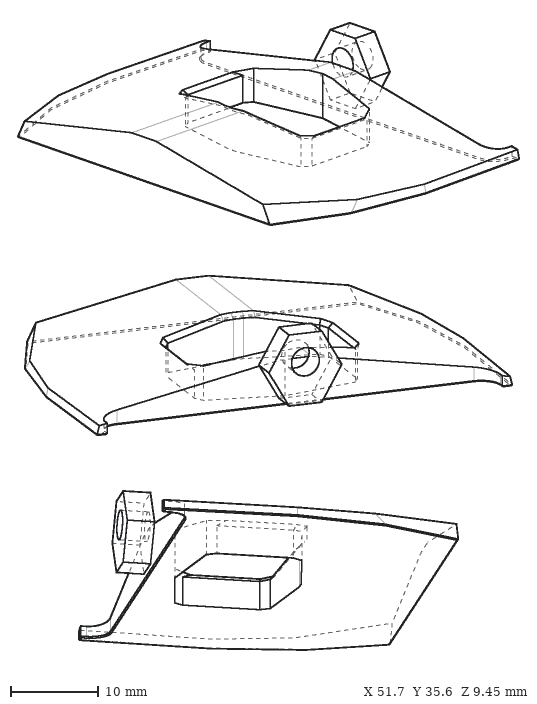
import cadquery as cq
import math

ridge_height = 5.5
ridge_half_width = 2.0
roof_angle = 10.4
plate_length = 32.4

half_width = 25.85
front_corner = (20.35, 0.0)
front_bend = (24.3, 9.3)
widest_point = (half_width, 19.9)
ear_corner = (25.6, 35.4)
front_facet_draft = 25.0
side_draft = 14.0
bottom_bevel = 0.15

ear_inner_x = 24.35
ear_fillet = 2.35

window_centre_y = 21.75
window_half_width = 10.05
window_side_half_length = 4.5
window_corner_x = 9.35
window_corner_half_length = 5.6
window_apex_half_length = 7.4
window_chamfer = 0.6

lug_top = 9.45
lug_middle = 5.15
lug_rear = 35.6
lug_side_angle = 60.0
lug_hole_diameter = 3.4
lug_hole_height = 6.0

overrun = 5.15
cutter_size = 103.4


def mirrored(right_half):
    """Close a right-half point list with its mirror image across X = 0."""
    left_half = [(-x, y) for x, y in reversed(right_half) if x != 0]
    return right_half + left_half


def roof():
    """Roof profile extruded along Y."""
    eave_x = half_width + overrun
    eave_drop = (eave_x - ridge_half_width) * math.tan(math.radians(roof_angle))
    half_profile = [
        (eave_x, 0),
        (eave_x, ridge_height - eave_drop),
        (ridge_half_width, ridge_height),
    ]
    profile = cq.Workplane("XZ").polyline(mirrored(half_profile)).close()
    return profile.extrude(-ear_corner[1])


def outside_facet(start, end, draft):
    """Material outside a side facet that leans inward by draft degrees from the line start to end."""
    run_x = end[0] - start[0]
    run_y = end[1] - start[1]
    length = math.hypot(run_x, run_y)
    lean = math.radians(draft)
    outward = (
        run_y / length * math.cos(lean),
        -run_x / length * math.cos(lean),
        math.sin(lean),
    )
    facet_plane = cq.Plane(origin=(*start, bottom_bevel), xDir=(run_x, run_y, 0), normal=outward)
    return cq.Workplane(facet_plane).rect(cutter_size, cutter_size).extrude(cutter_size)


def trim_sides(body):
    """Cut the three leaning facets on the right side and their mirror images on the left."""
    facets = [
        (front_corner, front_bend, front_facet_draft),
        (front_bend, widest_point, side_draft),
        (widest_point, ear_corner, side_draft),
    ]
    for start, end, draft in facets:
        waste = outside_facet(start, end, draft)
        body = body.cut(waste).cut(waste.mirror("YZ"))
    return body


def rear_notch():
    """Recess between the ears, rounded at its inner corners."""
    return (
        cq.Workplane("XY")
        .center(0, plate_length)
        .rect(2 * ear_inner_x, 2 * overrun)
        .extrude(ridge_height)
        .translate((0, overrun, 0))
        .edges("|Z and <Y")
        .fillet(ear_fillet)
    )


def window():
    """Through opening with a shallow apex at front and rear and cut corners."""
    right_half = [
        (0, -window_apex_half_length),
        (window_corner_x, -window_corner_half_length),
        (window_half_width, -window_side_half_length),
        (window_half_width, window_side_half_length),
        (window_corner_x, window_corner_half_length),
        (0, window_apex_half_length),
    ]
    return (
        cq.Workplane("XY")
        .center(0, window_centre_y)
        .polyline(mirrored(right_half))
        .close()
        .extrude(ridge_height)
    )


def lug():
    """Hexagonal block with a cross hole along Y."""
    half_height = lug_top - lug_middle
    half_width_middle = ridge_half_width + half_height / math.tan(math.radians(lug_side_angle))
    right_half = [
        (ridge_half_width, lug_middle - half_height),
        (half_width_middle, lug_middle),
        (ridge_half_width, lug_top),
    ]
    lug_plane = cq.Workplane("XZ", origin=(0, plate_length, 0))
    block = lug_plane.polyline(mirrored(right_half)).close().extrude(plate_length - lug_rear)
    hole = (
        lug_plane.center(0, lug_hole_height)
        .circle(lug_hole_diameter / 2)
        .extrude(plate_length - lug_rear)
    )
    return block.cut(hole)


def window_rim():
    """Selector for the top edges of the window, without its rear edges and rear corner cuts."""
    low_corner = (
        -half_width,
        window_centre_y - window_apex_half_length,
        ridge_height / 2,
    )
    high_corner = (
        half_width,
        window_centre_y + window_side_half_length,
        ridge_height + overrun,
    )
    return cq.selectors.BoxSelector(low_corner, high_corner)


plate = trim_sides(roof()).cut(rear_notch())
plate = plate.faces("<Z").edges().chamfer(bottom_bevel)
plate = plate.cut(window())
plate = plate.edges(window_rim()).chamfer(window_chamfer)
result = plate.union(lug())